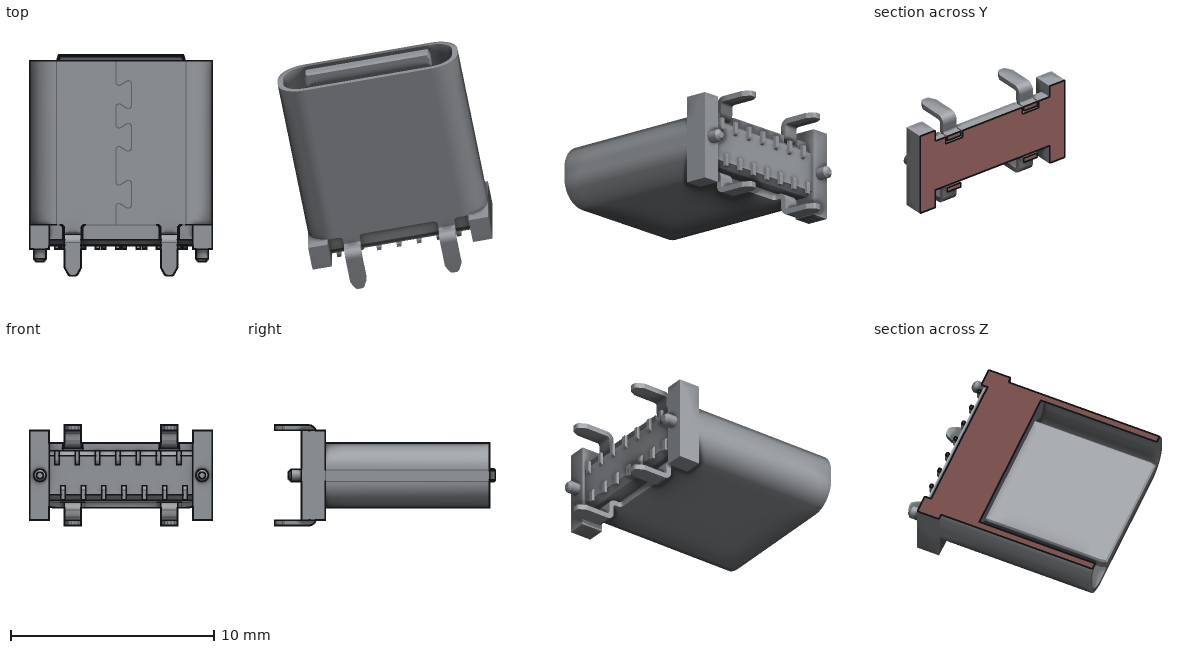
import cadquery as cq
import math


cos_45 = math.sqrt(0.5)

sheet = 0.27
shell_half_width = 4.5
shell_half_height = 1.6
corner_radius = 1.32
shell_rear = 1.18
shell_mouth = 9.27
flat_half_width = shell_half_width - corner_radius
inner_half_height = shell_half_height - sheet

seam_left = -0.26
seam_right = 0.5
seam_tooth_centres = [2.71, 5.51, 7.61]
tooth_root_half = 0.34
tooth_tip_half = 0.8
tooth_radius = 0.15

leg_x = 2.37
leg_half_width = 0.41
leg_top = 2.48
leg_tip_y = -1.32
leg_shoulder_y = -0.9
leg_tip_half_width = 0.2
leg_shoulder_radius = 0.15
leg_tip_radius = 0.18
leg_root_fillet = 0.18
leg_back_y = 0.74
lower_bend_radius = 0.1
upper_bend_radius = 0.13
leg_front_y = leg_back_y - sheet
lower_bend_y = leg_back_y + lower_bend_radius
lower_bend_z = shell_half_height + lower_bend_radius
upper_bend_y = leg_front_y - upper_bend_radius
upper_bend_z = leg_top - sheet - upper_bend_radius

wing_width = 0.97
wing_half_height = leg_top - sheet
core_half_width = shell_half_width - wing_width
core_half_height = 1.22
core_face_y = 0.15
core_lip = 0.07
core_chamfer = 0.25
core_lip_y = core_face_y + core_lip
core_face_half_height = core_half_height - core_chamfer
notch_half_width = 0.5
notch_radius = 0.11
mouth_depth = 6.2
cavity_floor = shell_mouth - mouth_depth

peg_x = 3.99
peg_radius = 0.3
peg_length = 0.63
peg_chamfer = 0.14

foot_pitch = 1.0
feet_per_row = 7
foot_row_shift = 0.15
foot_width = 0.22
foot_inner_z = 0.52
foot_outer_z = 1.21
foot_bend_radius = 0.18

tongue_tip_y = 9.55
tongue_half_width = 3.15
tongue_tip_half_width = 3.07
tongue_half_thickness = 0.32
tongue_chamfer = 0.09


def block(x_range, y_range, z_range):
    """Box between the given limits."""
    size = [high - low for low, high in (x_range, y_range, z_range)]
    corner = (x_range[0], y_range[0], z_range[0])
    return cq.Workplane("XY").box(*size, centered=False).translate(corner)


def rounded_bar(half_width, half_height, radius, y_start, y_end):
    """Bar along Y with a rounded rectangular section."""
    bar = block((-half_width, half_width), (y_start, y_end), (-half_height, half_height))
    return bar.edges("|Y").fillet(radius)


def seam_side():
    """Flat stretch of the top wall to the left of the dovetail seam."""
    outline = [(-flat_half_width, shell_mouth), (-flat_half_width, lower_bend_y), (seam_left, lower_bend_y)]
    for centre in seam_tooth_centres:
        outline.append((seam_left, centre - tooth_root_half))
        outline.append((seam_right, centre - tooth_tip_half))
        outline.append((seam_right, centre + tooth_tip_half))
        outline.append((seam_left, centre + tooth_root_half))
    outline.append((seam_left, shell_mouth))
    panel = cq.Workplane("XY").workplane(offset=inner_half_height).polyline(outline).close().extrude(sheet)
    teeth = cq.selectors.BoxSelector(
        (seam_left - sheet, shell_rear + sheet, 0),
        (seam_right + sheet, shell_mouth - sheet, 2 * shell_half_height),
    )
    return panel.edges("|Z").edges(teeth).fillet(tooth_radius)


def leg_root(x):
    """Flat start of a top leg, widening by fillets into the shell wall."""
    inner = leg_half_width
    outer = leg_half_width + leg_root_fillet
    flare = shell_rear - leg_root_fillet
    diagonal = leg_root_fillet * (1 - cos_45)
    return (
        cq.Workplane("XY")
        .workplane(offset=inner_half_height)
        .moveTo(x - inner, lower_bend_y)
        .lineTo(x + inner, lower_bend_y)
        .lineTo(x + inner, flare)
        .threePointArc((x + inner + diagonal, shell_rear - diagonal), (x + outer, shell_rear))
        .lineTo(x - outer, shell_rear)
        .threePointArc((x - inner - diagonal, shell_rear - diagonal), (x - inner, flare))
        .close()
        .extrude(sheet)
    )


def leg_bend(x):
    """Top leg from its flat start: up through one bend, forward through another, to the tapered tip."""
    lower_outer = lower_bend_radius + sheet
    upper_outer = upper_bend_radius + sheet
    strip = (
        cq.Workplane("YZ")
        .moveTo(lower_bend_y, shell_half_height)
        .threePointArc(
            (lower_bend_y - lower_bend_radius * cos_45, lower_bend_z - lower_bend_radius * cos_45),
            (leg_back_y, lower_bend_z),
        )
        .lineTo(leg_back_y, upper_bend_z)
        .threePointArc(
            (upper_bend_y + upper_outer * cos_45, upper_bend_z + upper_outer * cos_45),
            (upper_bend_y, leg_top),
        )
        .lineTo(leg_tip_y, leg_top)
        .lineTo(leg_tip_y, leg_top - sheet)
        .lineTo(upper_bend_y, leg_top - sheet)
        .threePointArc(
            (upper_bend_y + upper_bend_radius * cos_45, upper_bend_z + upper_bend_radius * cos_45),
            (leg_front_y, upper_bend_z),
        )
        .lineTo(leg_front_y, lower_bend_z)
        .threePointArc(
            (lower_bend_y - lower_outer * cos_45, lower_bend_z - lower_outer * cos_45),
            (lower_bend_y, inner_half_height),
        )
        .close()
        .extrude(leg_half_width, both=True)
    )
    plan = (
        cq.Workplane("XY")
        .polyline([
            (-leg_half_width, lower_bend_y),
            (-leg_half_width, leg_shoulder_y),
            (-leg_tip_half_width, leg_tip_y),
            (leg_tip_half_width, leg_tip_y),
            (leg_half_width, leg_shoulder_y),
            (leg_half_width, lower_bend_y),
        ])
        .close()
        .extrude(leg_top)
    )
    plan = plan.edges("|Z").edges("<Y").fillet(leg_tip_radius)
    shoulder = cq.selectors.BoxSelector(
        (-2 * leg_half_width, leg_shoulder_y - sheet / 2, 0),
        (2 * leg_half_width, leg_shoulder_y + sheet / 2, leg_top),
    )
    plan = plan.edges("|Z").edges(shoulder).fillet(leg_shoulder_radius)
    return strip.intersect(plan).translate((x, 0, 0))


def shell():
    """Rolled shell with four legs, split along the seam of its top wall."""
    tube = rounded_bar(shell_half_width, shell_half_height, corner_radius, shell_rear, shell_mouth)
    tube = tube.cut(
        rounded_bar(
            shell_half_width - sheet, inner_half_height, corner_radius - sheet, shell_rear, shell_mouth
        )
    )
    for x in (-leg_x, leg_x):
        root = leg_root(x)
        tube = tube.union(root).union(root.mirror("XY"))
    panel = tube.intersect(seam_side())
    tube = tube.cut(panel).union(panel, clean=False)
    for x in (-leg_x, leg_x):
        bend = leg_bend(x)
        tube = tube.union(bend, clean=False).union(bend.mirror("XY"), clean=False)
    return tube


def housing():
    """Core with chamfered rear edges, notched top flange, and the plug that closes the shell."""
    chamfer_y = core_lip_y + core_chamfer
    core = (
        cq.Workplane("YZ")
        .polyline([
            (shell_rear, core_half_height),
            (chamfer_y, core_half_height),
            (core_lip_y, core_face_half_height),
            (core_face_y, core_face_half_height),
            (core_face_y, -core_face_half_height),
            (core_lip_y, -core_face_half_height),
            (chamfer_y, -core_half_height),
            (shell_rear, -core_half_height),
        ])
        .close()
        .extrude(core_half_width, both=True)
    )
    flange_spans = [
        (-core_half_width, -leg_x - notch_half_width),
        (-leg_x + notch_half_width, leg_x - notch_half_width),
        (leg_x + notch_half_width, core_half_width),
    ]
    for x_range in flange_spans:
        flange = block(x_range, (leg_front_y, shell_rear), (core_half_height, shell_half_height))
        for side, x in zip(("<X", ">X"), x_range):
            if abs(x) < core_half_width:
                flange = flange.edges("|Z").edges(">Y").edges(side).fillet(notch_radius)
        core = core.union(flange)
    plug = rounded_bar(
        shell_half_width - sheet, inner_half_height, corner_radius - sheet, shell_rear, cavity_floor
    )
    return core.union(plug)


def wing(side):
    """End block standing on the seating plane, with its locating peg."""
    x_range = sorted((side * core_half_width, side * shell_half_width))
    body = block(x_range, (0, shell_rear), (-wing_half_height, wing_half_height))
    peg = (
        cq.Workplane("XZ")
        .center(side * peg_x, 0)
        .circle(peg_radius)
        .extrude(peg_length)
        .faces("<Y")
        .chamfer(peg_chamfer)
    )
    return body.union(peg)


def contact_foot(x, side):
    """Foot on the seating plane: a root sunk into the core behind a bend, and an overhanging toe."""
    x_range = (x - foot_width / 2, x + foot_width / 2)
    root = block(x_range, (0, core_lip_y), (foot_inner_z, core_face_half_height))
    root = root.edges("|X").edges("<Y").edges("<Z").fillet(foot_bend_radius)
    toe = block(x_range, (0, core_face_y), (core_face_half_height, foot_outer_z))
    foot = root.union(toe)
    return foot if side > 0 else foot.mirror("XY")


def tongue():
    """Flat tongue from the cavity floor out past the mouth, tapered and bevelled at the tip."""
    plan = [
        (-tongue_half_width, cavity_floor),
        (tongue_half_width, cavity_floor),
        (tongue_half_width, shell_mouth),
        (tongue_tip_half_width, tongue_tip_y),
        (-tongue_tip_half_width, tongue_tip_y),
        (-tongue_half_width, shell_mouth),
    ]
    plate = cq.Workplane("XY").polyline(plan).close().extrude(tongue_half_thickness, both=True)
    return plate.faces("<Z or >Z").edges("not <Y").chamfer(tongue_chamfer)


result = shell().union(housing(), clean=False).union(tongue(), clean=False)
for wing_side in (-1, 1):
    result = result.union(wing(wing_side), clean=False)
for row in (-1, 1):
    for index in range(feet_per_row):
        foot_x = (index - (feet_per_row - 1) / 2) * foot_pitch - row * foot_row_shift
        result = result.union(contact_foot(foot_x, row), clean=False)